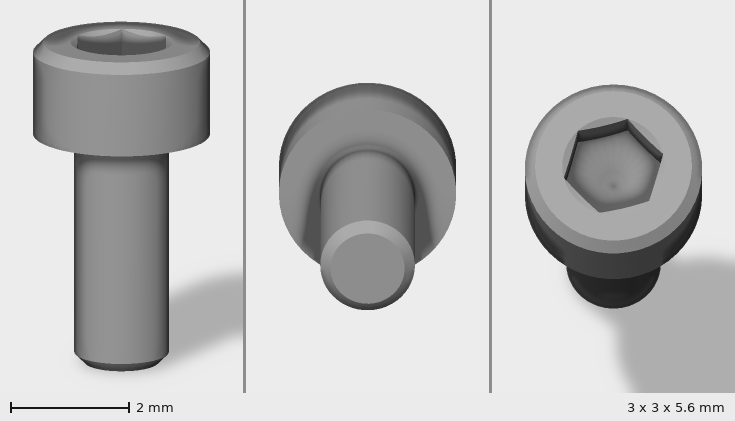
import cadquery as cq
import math

total_length = 5.6
head_diameter = 3.0
head_height = 1.6
head_chamfer = 0.175
shank_diameter = 1.6
tip_chamfer = 0.175
neck_fillet = 0.085

socket_across_flats = 1.5
socket_depth = 0.63
mouth_angle = 30
floor_angle = 30

head_radius = head_diameter / 2
shank_radius = shank_diameter / 2
shank_length = total_length - head_height
socket_corner_radius = socket_across_flats / math.sqrt(3)


def make_body():
    """Revolve the half profile of the head, filleted neck and shank."""
    return (
        cq.Workplane("XZ")
        .moveTo(0, -shank_length)
        .lineTo(shank_radius - tip_chamfer, -shank_length)
        .lineTo(shank_radius, tip_chamfer - shank_length)
        .lineTo(shank_radius, -neck_fillet)
        .tangentArcPoint((shank_radius + neck_fillet, 0), relative=False)
        .lineTo(head_radius, 0)
        .lineTo(head_radius, head_height - head_chamfer)
        .lineTo(head_radius - head_chamfer, head_height)
        .lineTo(0, head_height)
        .close()
        .revolve(360, (0, 0), (0, 1))
    )


def make_cone(base_z, slope_angle):
    """Cone pointing down, as wide as the socket corners at base_z."""
    tip_z = base_z - socket_corner_radius * math.tan(math.radians(slope_angle))
    return (
        cq.Workplane("XZ")
        .moveTo(0, tip_z)
        .lineTo(socket_corner_radius, base_z)
        .lineTo(0, base_z)
        .close()
        .revolve(360, (0, 0), (0, 1))
    )


def make_socket():
    """Hexagonal prism with corners on the Y axis, coned floor and mouth."""
    floor_z = head_height - socket_depth
    floor_depth = socket_corner_radius * math.tan(math.radians(floor_angle))
    hexagon = (
        cq.Workplane("XY", origin=(0, 0, floor_z - floor_depth))
        .polygon(6, 2 * socket_corner_radius)
        .extrude(socket_depth + floor_depth)
        .rotate((0, 0, 0), (0, 0, 1), 30)
    )
    core = (
        cq.Workplane("XY", origin=(0, 0, floor_z))
        .circle(socket_corner_radius)
        .extrude(socket_depth)
        .union(make_cone(floor_z, floor_angle))
    )
    return hexagon.intersect(core).union(make_cone(head_height, mouth_angle))


result = make_body().cut(make_socket())